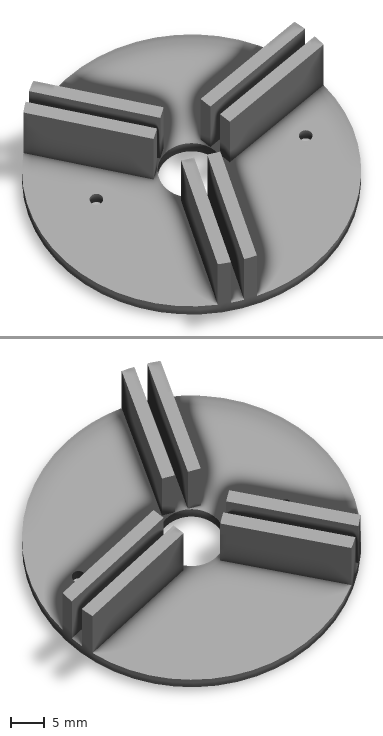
import cadquery as cq

disc_diameter = 49.95
disc_thickness = 2
bore_diameter = 10

total_height = 12
plate_thickness = 2
slot_width = 2
pair_count = 3
first_pair_angle = 90

pin_hole_diameter = 2
pin_line_angle = 65
pin_hole_far_radius = 18
pin_hole_near_radius = 15

disc_radius = disc_diameter / 2
bore_radius = bore_diameter / 2


def make_disc():
    disc = cq.Workplane("XY").circle(disc_radius).circle(bore_radius).extrude(disc_thickness)
    pin_holes = (
        cq.Workplane("XY")
        .transformed(rotate=(0, 0, pin_line_angle))
        .pushPoints([(pin_hole_far_radius, 0), (-pin_hole_near_radius, 0)])
        .circle(pin_hole_diameter / 2)
        .extrude(disc_thickness)
    )
    return disc.cut(pin_holes)


def make_plate_pair(angle):
    """Two parallel plates running outward from the bore at the given angle."""
    plate_offset = (slot_width + plate_thickness) / 2
    plate_length = disc_radius - bore_radius
    plate_middle = (disc_radius + bore_radius) / 2
    return (
        cq.Workplane("XY")
        .transformed(rotate=(0, 0, angle))
        .pushPoints([(plate_middle, plate_offset), (plate_middle, -plate_offset)])
        .rect(plate_length, plate_thickness)
        .extrude(total_height)
    )


rim_envelope = cq.Workplane("XY").circle(disc_radius).extrude(total_height)

result = make_disc()
for index in range(pair_count):
    pair_angle = first_pair_angle + index * 360 / pair_count
    result = result.union(make_plate_pair(pair_angle).intersect(rim_envelope))